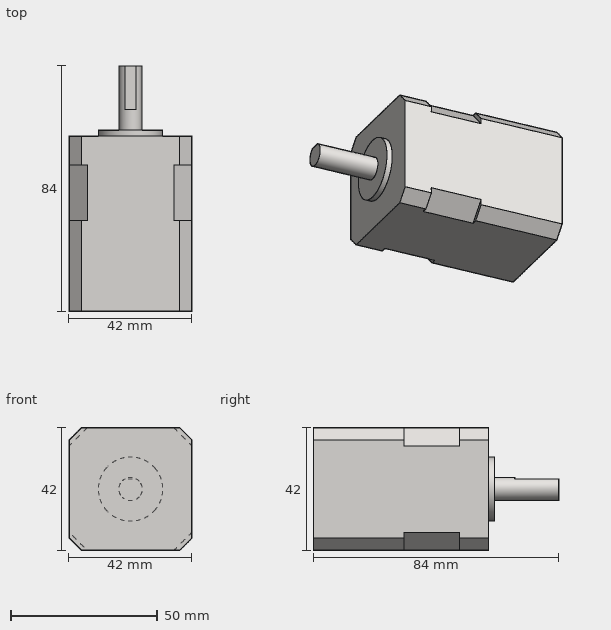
import cadquery as cq

total_length = 84.0
body_width = 42.0
shaft_length = 22.0
pilot_length = 2.0
body_length = total_length - shaft_length - pilot_length
corner_chamfer = 4.2
waist_chamfer = 6.2
waist_offset = 10.0
waist_length = 19.0
pilot_diameter = 22.0
shaft_diameter = 8.0
flat_length = 15.0
flat_depth = 0.5


def chamfered_block(start, length, chamfer):
    """Square block with cut corners, extending toward +Y from start."""
    return (
        cq.Workplane("XY")
        .box(body_width, length, body_width)
        .edges("|Y")
        .chamfer(chamfer)
        .translate((0, start + length / 2, 0))
    )


def cylinder(start, length, diameter):
    """Round bar on the motor axis, extending toward +Y from start."""
    return cq.Workplane("XZ", origin=(0, start, 0)).circle(diameter / 2).extrude(-length)


waist_front = -waist_offset
waist_back = waist_front - waist_length
rear_length = body_length - waist_offset - waist_length
rear_block = chamfered_block(-body_length, rear_length, corner_chamfer)
waist = chamfered_block(waist_back, waist_length, waist_chamfer)
front_block = chamfered_block(waist_front, waist_offset, corner_chamfer)
body = rear_block.union(waist).union(front_block)

pilot = cylinder(0, pilot_length, pilot_diameter)
shaft_end = pilot_length + shaft_length
shaft = cylinder(0, shaft_end, shaft_diameter)

flat_cutter = cq.Workplane("XY").box(shaft_diameter, flat_length, flat_depth).translate(
    (0, shaft_end - flat_length / 2, (shaft_diameter - flat_depth) / 2)
)
shaft = shaft.cut(flat_cutter)

result = body.union(pilot).union(shaft).clean()